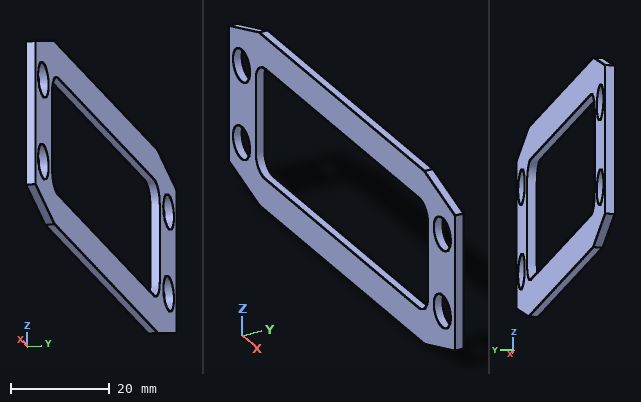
import cadquery as cq

length = 97.0
height = 39.2
thickness = 2.0
end_height = 30.7
top_length = 70.8

window_length = 73.7
window_height = 24.8
window_radius = 4.0

hole_diameter = 7.2
hole_spacing_x = 86.0
hole_spacing_z = 17.5


def make_plate():
    """Rectangular plate with its four corners cut off, centred on the origin."""
    half_length = length / 2
    half_height = height / 2
    outline = [
        (-half_length, -end_height / 2),
        (-top_length / 2, -half_height),
        (top_length / 2, -half_height),
        (half_length, -end_height / 2),
        (half_length, end_height / 2),
        (top_length / 2, half_height),
        (-top_length / 2, half_height),
        (-half_length, end_height / 2),
    ]
    return cq.Workplane("XZ").polyline(outline).close().extrude(thickness / 2, both=True)


def make_window():
    """Rounded rectangular cutter passing through the plate."""
    block = cq.Workplane("XY").box(window_length, thickness, window_height)
    return block.edges("|Y").fillet(window_radius)


def make_holes():
    """Four round cutters, two at each end of the plate."""
    return (
        cq.Workplane("XZ")
        .rarray(hole_spacing_x, hole_spacing_z, 2, 2)
        .circle(hole_diameter / 2)
        .extrude(thickness / 2, both=True)
    )


result = make_plate().cut(make_window()).cut(make_holes())